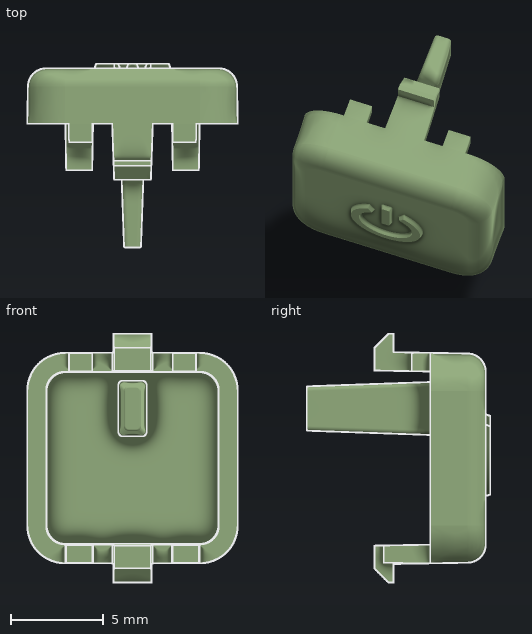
import cadquery as cq
import math


rim_side = 11.35
cap_depth = 3.0
cap_corner_radius = 2.05
cap_back_fillet = 1.0
wall = 1.02
pocket_depth = 2.01
draft = 1.0
rim_half = rim_side / 2
pocket_half = rim_half - wall

stem_reach = 6.65
stem_root_width = 1.53
stem_root_height = 3.0
stem_z = 2.67
stem_draft = 2.0
stem_corner_radius = 0.25
stem_tip_fillet = 0.1

hook_reach = 3.0
hook_ledge_reach = 1.97
hook_tip_z = 6.71
hook_tip_land = 0.27
hook_half_width = 1.1
hook_flank_draft = 2.0

short_peg_reach = 0.99
long_peg_reach = 2.5
short_peg_inner_x = 2.16
short_peg_outer_x = 3.44
long_peg_inner_x = 2.12
long_peg_outer_x = rim_half - cap_corner_radius

symbol_height = 0.24
symbol_draft = 20.0
ring_outer_radius = 2.05
symbol_stroke = 0.63
ring_gap_half_angle = 28.0
bar_top_z = 2.36
bar_bottom_z = 0.0
bar_corner_radius = 0.16

draft_slope = math.tan(math.radians(draft))
hook_flank_slope = math.tan(math.radians(hook_flank_draft))

FORWARD = cq.Plane(origin=(0, 0, 0), xDir=(1, 0, 0), normal=(0, -1, 0))
BACKWARD = cq.Plane(origin=(0, 0, 0), xDir=(-1, 0, 0), normal=(0, 1, 0))


def rounded_square(side, radius):
    return cq.Sketch().rect(side, side).vertices().fillet(radius)


def make_cap():
    outside = (
        cq.Workplane(BACKWARD)
        .placeSketch(rounded_square(rim_side, cap_corner_radius))
        .extrude(cap_depth, taper=draft)
        .faces(">Y")
        .edges()
        .fillet(cap_back_fillet)
    )
    pocket = (
        cq.Workplane(BACKWARD)
        .placeSketch(rounded_square(2 * pocket_half, cap_corner_radius - wall))
        .extrude(pocket_depth, taper=draft)
    )
    return outside.cut(pocket)


def make_stem():
    return (
        cq.Workplane(FORWARD)
        .workplane(offset=-pocket_depth)
        .center(0, stem_z)
        .rect(stem_root_width, stem_root_height)
        .extrude(pocket_depth + stem_reach, taper=stem_draft)
        .edges("not(|X or |Z)")
        .fillet(stem_corner_radius)
        .faces("<Y")
        .edges()
        .fillet(stem_tip_fillet)
    )


def drafted_tab(side_profile, x_start, x_end, reach, flank_slope):
    """Tab with the given (Y, Z) side profile whose two X flanks close in toward its tip."""
    shrink = reach * flank_slope
    plan = [(x_start, 0), (x_end, 0), (x_end - shrink, -reach), (x_start + shrink, -reach)]
    flanks = cq.Workplane("XY").polyline(plan).close().extrude(hook_tip_z)
    side = cq.Workplane("YZ").polyline(side_profile).close().extrude(rim_half, both=True)
    return flanks.intersect(side)


def make_hook():
    ledge_root_z = rim_half + hook_ledge_reach * draft_slope
    chamfer_run = hook_reach - hook_ledge_reach - hook_tip_land
    profile = [
        (0, pocket_half),
        (0, rim_half),
        (-hook_ledge_reach, ledge_root_z),
        (-hook_ledge_reach, hook_tip_z),
        (-hook_ledge_reach - hook_tip_land, hook_tip_z),
        (-hook_reach, hook_tip_z - chamfer_run),
        (-hook_reach, pocket_half + hook_reach * draft_slope),
    ]
    return drafted_tab(profile, -hook_half_width, hook_half_width, hook_reach, hook_flank_slope)


def make_peg_pair(reach, x_inner, x_outer):
    shrink = reach * draft_slope
    profile = [
        (0, pocket_half),
        (0, rim_half),
        (-reach, rim_half - shrink),
        (-reach, pocket_half + shrink),
    ]
    peg = drafted_tab(profile, x_inner, x_outer, reach, draft_slope)
    return peg.union(peg.mirror("YZ"))


def make_symbol():
    inner_radius = ring_outer_radius - symbol_stroke

    def on_ring(radius, angle_from_top):
        angle = math.radians(angle_from_top)
        return (radius * math.sin(angle), radius * math.cos(angle))

    back_face = cq.Workplane(BACKWARD).workplane(offset=cap_depth)
    ring = (
        back_face
        .moveTo(*on_ring(ring_outer_radius, ring_gap_half_angle))
        .threePointArc((0, -ring_outer_radius), on_ring(ring_outer_radius, -ring_gap_half_angle))
        .lineTo(*on_ring(inner_radius, -ring_gap_half_angle))
        .threePointArc((0, -inner_radius), on_ring(inner_radius, ring_gap_half_angle))
        .close()
        .extrude(symbol_height, taper=symbol_draft)
    )
    bar_outline = (
        cq.Sketch()
        .rect(symbol_stroke, bar_top_z - bar_bottom_z)
        .vertices()
        .fillet(bar_corner_radius)
    )
    bar = (
        back_face
        .center(0, (bar_top_z + bar_bottom_z) / 2)
        .placeSketch(bar_outline)
        .extrude(symbol_height, taper=symbol_draft)
    )
    return ring.union(bar)


hook = make_hook()
result = (
    make_cap()
    .union(make_stem())
    .union(hook)
    .union(hook.mirror("XY"))
    .union(make_peg_pair(short_peg_reach, short_peg_inner_x, short_peg_outer_x))
    .union(make_peg_pair(long_peg_reach, long_peg_inner_x, long_peg_outer_x).mirror("XY"))
    .union(make_symbol())
)